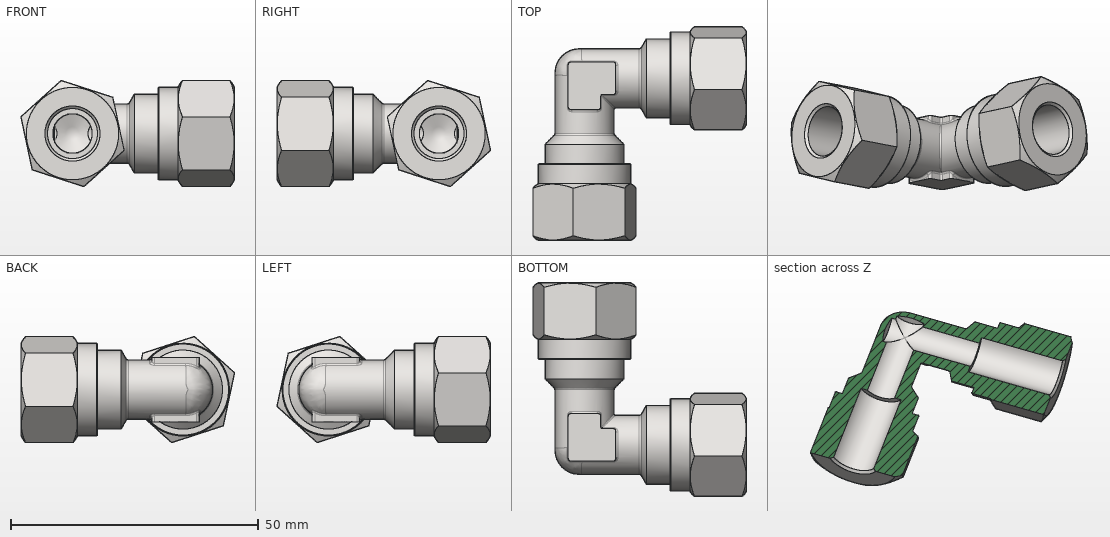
import cadquery as cq
import math


overall_length = 43.2
nut_sides = 6
nut_corner_radius = 10.95
nut_turn = 12
nut_length = 11.5
nut_chamfer_radius = 9.35
nut_chamfer_angle = 30
collar_length = 4.0
collar_radius = 9.37
collar_chamfer = 0.17

side_corner_tilt = 180 / nut_sides - nut_turn
nut_half_width = nut_corner_radius * math.cos(math.radians(side_corner_tilt))
arm_length = overall_length - nut_half_width
nut_start = arm_length - nut_length
collar_start = nut_start - collar_length

neck_radius = 6.0
neck_length = 11.35
shoulder_radius = 8.0
x_cone_length = 1.12
y_cone_length = shoulder_radius - neck_radius
cone_fillet = 0.5
outer_corner_fillet = 5.0
inner_corner_fillet = 0.25

pad_half_width = 3.3
pad_reach = 6.3
pad_height = 6.52
pad_corner_fillet = 0.5
pad_notch_fillet = 0.35
pad_base_fillet = 0.48
core_half_height = 5.25

socket_radius = 5.05
socket_stop = 15.0
socket_chamfer = 0.5
passage_radius = 3.97
passage_overrun = 3.65
drill_point_angle = 140


def revolve_about_x(points):
    """Solid of revolution from a closed outline of (x, radius) points."""
    return cq.Workplane("XY").polyline(points).close().revolve(360, (0, 0, 0), (1, 0, 0))


def on_y_arm(solid):
    """Turn a solid from the +X arm onto the -Y arm."""
    return solid.rotate((0, 0, 0), (0, 0, 1), -90)


def make_neck():
    """Mitred round elbow with a rounded outer corner and a small inner fillet."""
    path = cq.Workplane("XY").moveTo(neck_length, 0).lineTo(0, 0).lineTo(0, -neck_length)
    start = cq.Workplane("YZ", origin=(neck_length, 0, 0))
    mitred = start.circle(neck_radius).sweep(path, transition="right")

    slab = cq.Workplane("XY").box(4 * neck_length, 4 * neck_length, 2 * core_half_height)
    caps = mitred.cut(slab)
    r = neck_radius
    h = core_half_height
    inner_side = cq.selectors.BoxSelector((0, -r, -h), (r, 0, h))
    outer_side = cq.selectors.BoxSelector((-r, 0, -h), (0, r, h))
    core = mitred.intersect(slab)
    core = core.edges(inner_side).fillet(inner_corner_fillet)
    core = core.edges(outer_side).fillet(outer_corner_fillet)
    return core.union(caps)


def add_pads(neck):
    """Add both wrench pads and the fillets where they meet the round neck."""
    pad_length = pad_half_width + pad_reach
    pad_along_x = (
        cq.Workplane("XY")
        .center((pad_reach - pad_half_width) / 2, 0)
        .rect(pad_length, 2 * pad_half_width)
        .extrude(pad_height, both=True)
        .edges("|Z")
        .fillet(pad_corner_fillet)
    )
    pads = pad_along_x.union(on_y_arm(pad_along_x))
    notch = cq.selectors.NearestToPointSelector((pad_half_width, -pad_half_width, 0))
    pads = pads.edges(notch).fillet(pad_notch_fillet)
    body = neck.union(pads).clean()

    margin = 0.005
    near = pad_half_width + margin
    far = pad_reach + margin
    low = neck_radius / 2
    high = pad_height - margin
    upper_base = cq.selectors.BoxSelector((-near, -far, low), (far, near, high), boundingbox=True)
    lower_base = cq.selectors.BoxSelector((-near, -far, -high), (far, near, -low), boundingbox=True)
    return body.edges("not |Z").edges(upper_base + lower_base).fillet(pad_base_fillet)


def make_nut():
    """Hexagonal nut with both ends chamfered by cones."""
    corners = []
    for i in range(nut_sides):
        angle = math.radians(360 / nut_sides * i - nut_turn)
        corners.append((nut_corner_radius * math.sin(angle), nut_corner_radius * math.cos(angle)))
    hexagon = cq.Workplane("YZ", origin=(nut_start, 0, 0)).polyline(corners).close().extrude(nut_length)

    chamfer_drop = (nut_corner_radius - nut_chamfer_radius) * math.tan(math.radians(nut_chamfer_angle))
    envelope = revolve_about_x([
        (nut_start, 0),
        (nut_start, nut_chamfer_radius),
        (nut_start + chamfer_drop, nut_corner_radius),
        (arm_length - chamfer_drop, nut_corner_radius),
        (arm_length, nut_chamfer_radius),
        (arm_length, 0),
    ])
    return hexagon.intersect(envelope)


def make_connection(cone_length):
    """Shoulder, collar and nut of one arm, laid along +X."""
    shoulder = revolve_about_x([
        (pad_reach + pad_base_fillet, 0),
        (pad_reach + pad_base_fillet, neck_radius),
        (neck_length, neck_radius),
        (neck_length + cone_length, shoulder_radius),
        (nut_start, shoulder_radius),
        (nut_start, 0),
    ])
    cone_root = shoulder.edges("%CIRCLE").edges(">>X[1]")
    shoulder = cone_root.fillet(cone_fillet)
    collar = cq.Workplane("YZ", origin=(collar_start, 0, 0)).circle(collar_radius).extrude(collar_length)
    collar = collar.faces("<X").chamfer(collar_chamfer)
    return shoulder.union(collar).union(make_nut())


def make_bore():
    """Chamfered tube socket and drilled passage of one arm, laid along +X."""
    drill_tip = passage_radius / math.tan(math.radians(drill_point_angle / 2))
    return revolve_about_x([
        (-passage_overrun - drill_tip, 0),
        (-passage_overrun, passage_radius),
        (socket_stop, passage_radius),
        (socket_stop, socket_radius),
        (arm_length - socket_chamfer, socket_radius),
        (arm_length, socket_radius + socket_chamfer),
        (arm_length, 0),
    ])


result = add_pads(make_neck())
result = result.union(make_connection(x_cone_length))
result = result.union(on_y_arm(make_connection(y_cone_length)))
result = result.cut(make_bore()).cut(on_y_arm(make_bore()))